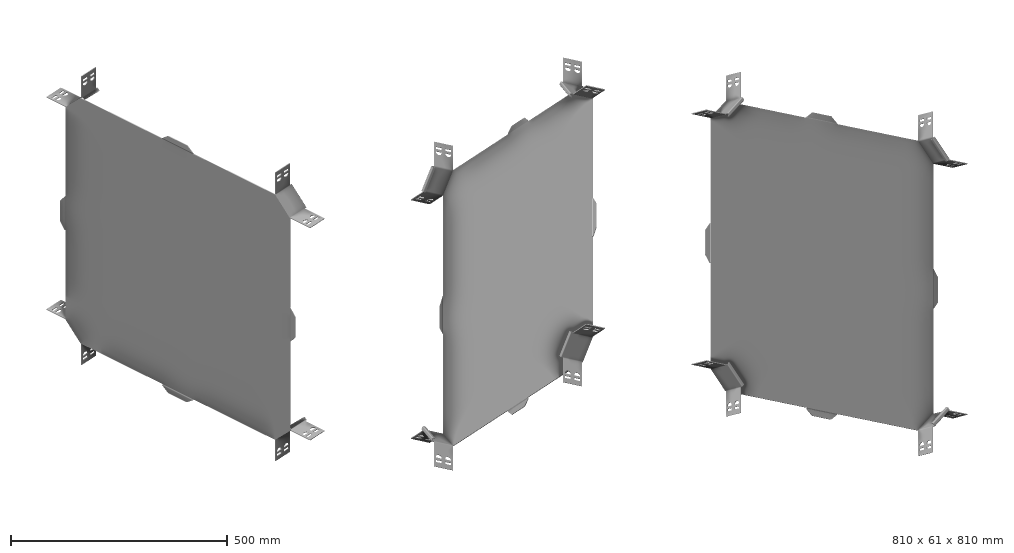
import cadquery as cq
import math


span = 810.0
panel_side = 688.0
corner_cut = 45.0
sheet = 2.0
total_depth = 61.0

tab_depth = 50.0
bend_radius = 3.0
lip_width = 10.0
lip_bend_radius = 0.4
hook_depth = 10.5

opening_width = 15.0
opening_pitch = 25.0
slot_from_tip = 11.0
slot_length = 6.0
d_from_tip = 23.0
d_length = 8.0
d_crown = 5.0

ear_base = 94.0
ear_top = 58.0
ear_height = 16.0
ear_joggle = 2.5
ear_offset = 1.2

half_span = span / 2
half_panel = panel_side / 2
fold = half_panel - corner_cut
panel_front = ear_offset
panel_back = panel_front + sheet
tab_rear = panel_back + tab_depth


def extrude_along_y(points, y_start, y_end):
    """Prism of an XZ outline between two Y positions."""
    outline = cq.Workplane("XZ", origin=(0, y_start, 0)).polyline(points).close()
    return outline.extrude(y_start - y_end)


def make_panel():
    plate = cq.Workplane("XY").box(panel_side, sheet, panel_side)
    plate = plate.edges("|Y").chamfer(corner_cut)
    return plate.translate((0, panel_front + sheet / 2, 0))


def make_tab_openings():
    """Cutters for the tab that runs along +Z, placed across its thickness."""
    slot_z = half_span - slot_from_tip - slot_length / 2
    d_top = half_span - d_from_tip
    d_bottom = d_top - d_length
    half_width = opening_width / 2
    d_shoulder = d_bottom + d_crown
    cutters = cq.Workplane("XY")
    for side in (-1, 1):
        y = panel_back + tab_depth / 2 + side * opening_pitch / 2
        plane = cq.Workplane("YZ", origin=(fold - sheet / 2, y, 0))
        slot = plane.center(0, slot_z).rect(opening_width, slot_length).extrude(sheet, both=True)
        d_shape = (
            plane.moveTo(-half_width, d_top)
            .lineTo(half_width, d_top)
            .lineTo(half_width, d_shoulder)
            .threePointArc((0, d_bottom), (-half_width, d_shoulder))
            .close()
            .extrude(sheet, both=True)
        )
        cutters = cutters.add(slot).add(d_shape)
    return cutters.combine()


def make_tabs_and_wall():
    """Folded strip at the +X +Z corner: tab, 45 degree wall, tab."""
    inner_fold = half_panel - sheet * (math.sqrt(2) - 1)
    strip = extrude_along_y(
        [
            (half_span, fold),
            (half_panel, fold),
            (fold, half_panel),
            (fold, half_span),
            (fold - sheet, half_span),
            (fold - sheet, inner_fold),
            (inner_fold, fold - sheet),
            (half_span, fold - sheet),
        ],
        panel_back,
        tab_rear,
    )
    bends = [
        (half_panel, fold, bend_radius),
        (fold, half_panel, bend_radius),
        (fold - sheet, inner_fold, bend_radius + sheet),
        (inner_fold, fold - sheet, bend_radius + sheet),
    ]
    mid_y = (panel_back + tab_rear) / 2
    for x, z, radius in bends:
        strip = strip.edges(cq.NearestToPointSelector((x, mid_y, z))).fillet(radius)

    openings = make_tab_openings()
    swapped = openings.rotate((0, 0, 0), (0, 1, 0), 90).mirror("XY")
    return strip.cut(openings).cut(swapped)


def make_lip():
    """Rear end of the +X +Z wall: it turns inward as a lip and forward again as a hook."""
    cut_length = corner_cut * math.sqrt(2)
    cut_middle = (half_panel + fold) / 2
    plane = cq.Plane(origin=(cut_middle, 0, cut_middle), xDir=(-1, 0, -1), normal=(1, 0, -1))

    def block(x_start, x_end, y_start, y_end):
        base = cq.Workplane(plane).center((x_start + x_end) / 2, (y_start + y_end) / 2)
        return base.rect(x_end - x_start, y_end - y_start).extrude(cut_length / 2, both=True)

    outside = block(0, lip_width, tab_rear, total_depth)
    outside = outside.faces(">Y").edges(cq.ParallelDirSelector(plane.zDir))
    outside = outside.fillet(lip_bend_radius + sheet)
    hollow = block(sheet, lip_width - sheet, panel_back, total_depth - sheet)
    hollow = hollow.faces(">Y").edges(cq.ParallelDirSelector(plane.zDir)).fillet(lip_bend_radius)
    below_hook = block(sheet, lip_width, panel_back, total_depth - hook_depth)
    return outside.cut(hollow).cut(below_hook)


def make_ear():
    """Ear on the +Z side: a sloped step forward from the panel edge, then a flat trapezoid."""
    shoulder = half_panel + ear_joggle
    top = half_panel + ear_height
    side_profile = (
        cq.Workplane("YZ")
        .polyline(
            [
                (panel_front, half_panel),
                (0, shoulder),
                (0, top),
                (sheet, top),
                (sheet, shoulder),
                (panel_back, half_panel),
            ]
        )
        .close()
        .extrude(ear_base / 2, both=True)
    )
    outline = extrude_along_y(
        [
            (-ear_base / 2, half_panel),
            (-ear_base / 2, shoulder),
            (-ear_top / 2, top),
            (ear_top / 2, top),
            (ear_base / 2, shoulder),
            (ear_base / 2, half_panel),
        ],
        0,
        panel_back,
    )
    return side_profile.intersect(outline)


result = make_panel()
corner_bracket = make_tabs_and_wall().union(make_lip())
side_ear = make_ear()
for quarter in range(4):
    angle = 90 * quarter
    result = result.union(corner_bracket.rotate((0, 0, 0), (0, 1, 0), angle))
    result = result.union(side_ear.rotate((0, 0, 0), (0, 1, 0), angle))